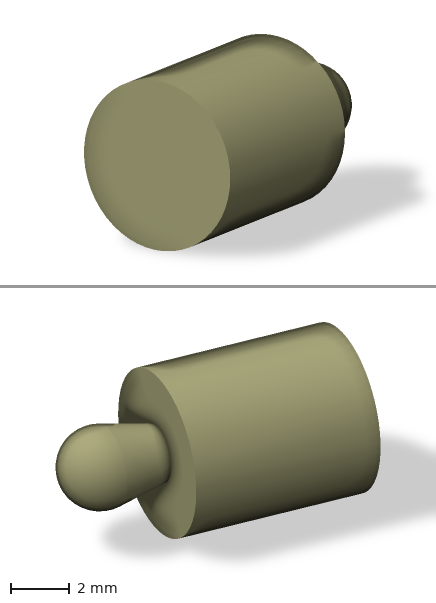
import cadquery as cq
import math

sleeve_diameter = 6.0
sleeve_length = 7.0

overall_length = 10.69
shank_diameter = 2.1
ball_diameter = 3.0

sleeve_radius = sleeve_diameter / 2
shank_radius = shank_diameter / 2
ball_radius = ball_diameter / 2
ball_center_y = overall_length - ball_radius

ball_standoff = ball_center_y - sleeve_length
center_to_shank_edge = math.hypot(shank_radius, ball_standoff)
tangent_angle = math.asin(ball_radius / center_to_shank_edge)
shank_edge_angle = math.atan2(shank_radius, ball_standoff)
neck_half_angle = tangent_angle - shank_edge_angle
neck_end_radius = ball_radius * math.cos(neck_half_angle)
neck_end_y = ball_center_y - ball_radius * math.sin(neck_half_angle)


def make_sleeve():
    """Ring extruded from Y = 0 toward +Y."""
    return (
        cq.Workplane("XZ")
        .circle(sleeve_radius)
        .circle(shank_radius)
        .extrude(-sleeve_length)
    )


def make_pin():
    """Half outline in the XY plane, revolved about the Y axis."""
    return (
        cq.Workplane("XY")
        .lineTo(shank_radius, 0)
        .lineTo(shank_radius, sleeve_length)
        .lineTo(neck_end_radius, neck_end_y)
        .radiusArc((ball_radius, ball_center_y), -ball_radius)
        .radiusArc((0, overall_length), -ball_radius)
        .close()
        .revolve(360, (0, 0, 0), (0, 1, 0))
    )


sleeve = make_sleeve()
pin = make_pin()

result = cq.Compound.makeCompound([sleeve.val(), pin.val()])